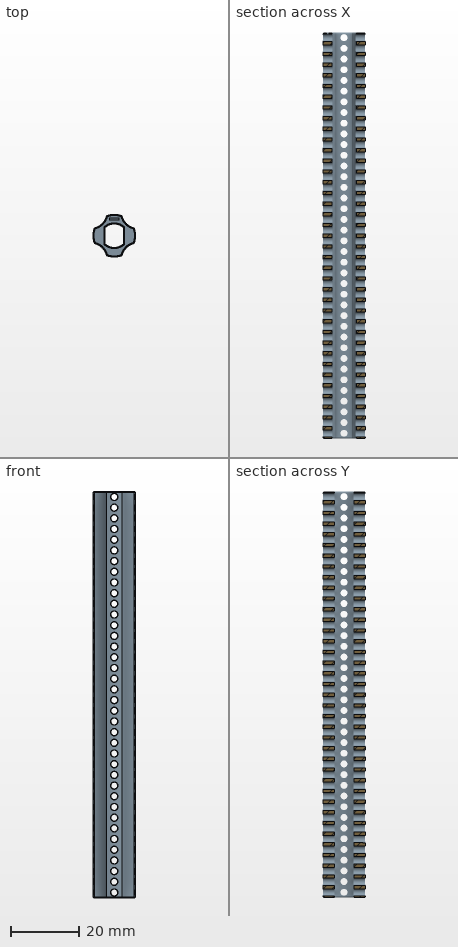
import cadquery as cq
import math

length = 118.8
outer_diameter = 12.5
outer_radius = outer_diameter / 2

arm_width = 4.5
valley_radius = 5.0

bore_width = 5.5
bore_height = 6.9
bore_flat_height = 4.8

end_chamfer = 0.3

hole_diameter = 2.0
hole_count = 38
hole_pitch = length / hole_count

groove_length = 2.7
groove_width = 0.6
groove_depth = 0.4
groove_offset = 4.9


def polar_point(radius, angle):
    return radius * math.cos(angle), radius * math.sin(angle)


def make_body():
    quarter_turn = math.pi / 2
    half_arm_angle = math.asin(arm_width / 2 / outer_radius)
    outline = cq.Workplane("XY").moveTo(*polar_point(outer_radius, -half_arm_angle))
    for arm in range(4):
        arm_angle = arm * quarter_turn
        outline = outline.threePointArc(
            polar_point(outer_radius, arm_angle),
            polar_point(outer_radius, arm_angle + half_arm_angle),
        )
        outline = outline.threePointArc(
            polar_point(valley_radius, arm_angle + quarter_turn / 2),
            polar_point(outer_radius, arm_angle + quarter_turn - half_arm_angle),
        )
    return outline.close().extrude(length)


def make_bore():
    half_width = bore_width / 2
    half_height = bore_height / 2
    half_flat = bore_flat_height / 2
    return (
        cq.Workplane("XY")
        .moveTo(half_width, -half_flat)
        .lineTo(half_width, half_flat)
        .threePointArc((0, half_height), (-half_width, half_flat))
        .lineTo(-half_width, -half_flat)
        .threePointArc((0, -half_height), (half_width, -half_flat))
        .close()
        .extrude(length)
    )


def make_hole_row(plane):
    heights = [(index + 0.5) * hole_pitch for index in range(hole_count)]
    return (
        cq.Workplane(plane)
        .pushPoints([(0, height) for height in heights])
        .circle(hole_diameter / 2)
        .extrude(outer_radius, both=True)
    )


def make_groove():
    return (
        cq.Workplane("XY", origin=(0, groove_offset, length - groove_depth))
        .rect(groove_length, groove_width)
        .extrude(groove_depth)
    )


result = make_body().cut(make_bore())
result = result.faces("<Z or >Z").chamfer(end_chamfer)
for hole_plane in ("XZ", "YZ"):
    result = result.cut(make_hole_row(hole_plane))
result = result.cut(make_groove())